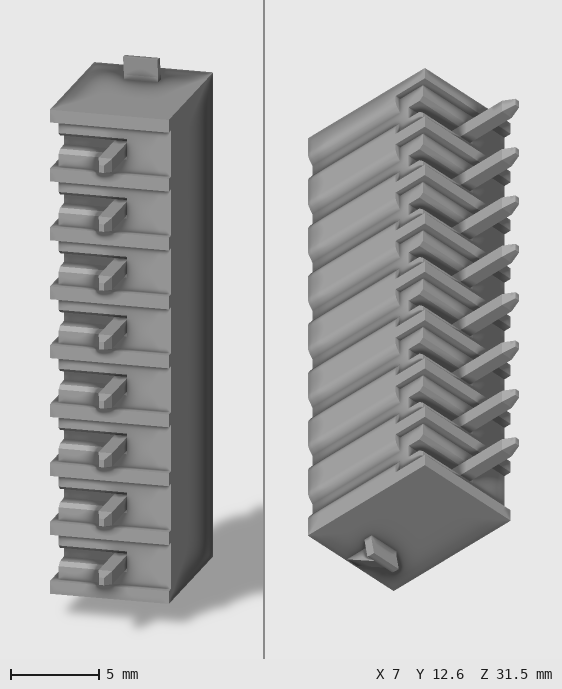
import cadquery as cq
import math

total_height = 31.5
width = 7.0
total_length = 12.6
body_length = 9.2
cell_count = 8
pitch = 3.5
rib_thickness = 0.75
recess_depth = 0.5
side_depth = 0.38
notch_length = 2.3

groove_floor = 0.7
groove_angle = math.radians(38)
groove_edge_radius = 0.63

pin_size = 0.8
pin_x = 0.5
pin_tip_length = 0.82
pin_tip_width = 0.3
pin_tip_height = 0.45
slot_depth = 1.13
slot_chamfer = 0.22
slot_chamfer_length = 0.28

peg_rib_width = 0.82
peg_plate_width = 2.02
peg_back_gap = 0.1
peg_ramp_length = 2.27
peg_round_radius = 0.5
peg_top_front = 2.8
peg_foot_front = 2.6
peg_plate_back = 2.05
peg_foot_height = 0.28

back_y = total_length / 2
rib_front_y = back_y - body_length
cell_front_y = rib_front_y + recess_depth
notch_back_y = rib_front_y + notch_length
pin_tip_y = back_y - total_length
side_x = -width / 2
body_height = cell_count * pitch + rib_thickness
peg_height = (total_height - body_height) / 2
cell_centres = [(i - (cell_count - 1) / 2) * pitch for i in range(cell_count)]
cell_opening = pitch - rib_thickness


def box(x_range, y_range, z_range):
    size = [end - start for start, end in (x_range, y_range, z_range)]
    return cq.Workplane("XY").box(*size, centered=False).translate((x_range[0], y_range[0], z_range[0]))


def cell_recess():
    """Gap between two ribs: open at the front, with a notch along the -X side."""
    z_range = (-cell_opening / 2, cell_opening / 2)
    front = box((side_x, -side_x), (rib_front_y, cell_front_y), z_range)
    side = box((side_x, side_x + side_depth), (rib_front_y, notch_back_y), z_range)
    return front.union(side)


def side_groove():
    """Groove in the -X side, from the notch to the back of the housing."""
    floor_x = side_x + side_depth
    round_x = side_x + groove_edge_radius
    round_end_x = round_x - groove_edge_radius * math.cos(groove_angle)
    round_mid_x = round_x - groove_edge_radius * math.cos(groove_angle / 2)
    floor_z = groove_floor / 2
    slope_z = floor_z + (floor_x - round_end_x) / math.tan(groove_angle)
    mouth_z = slope_z + groove_edge_radius * math.sin(groove_angle)
    round_mid_z = mouth_z - groove_edge_radius * math.sin(groove_angle / 2)
    return (
        cq.Workplane("XZ", origin=(0, back_y, 0))
        .moveTo(side_x, -mouth_z)
        .threePointArc((round_mid_x, -round_mid_z), (round_end_x, -slope_z))
        .lineTo(floor_x, -floor_z)
        .lineTo(floor_x, floor_z)
        .lineTo(round_end_x, slope_z)
        .threePointArc((round_mid_x, round_mid_z), (side_x, mouth_z))
        .close()
        .extrude(back_y - notch_back_y)
    )


def pin_slot():
    """Slot for the pin, open to the -X side, chamfered along its top and bottom edges."""
    half = pin_size / 2
    mouth = half + slot_chamfer
    floor_y = cell_front_y + slot_depth
    return (
        cq.Workplane("YZ", origin=(side_x, 0, 0))
        .polyline([
            (cell_front_y, -mouth),
            (cell_front_y + slot_chamfer_length, -half),
            (floor_y, -half),
            (floor_y, half),
            (cell_front_y + slot_chamfer_length, half),
            (cell_front_y, mouth),
        ])
        .close()
        .extrude(pin_x + pin_size / 2 - side_x)
    )


def pin():
    """Square pin with a tapered tip, standing on the slot floor."""
    taper_y = pin_tip_y + pin_tip_length
    half = pin_size / 2
    shank = box((pin_x - half, pin_x + half), (taper_y, cell_front_y + slot_depth), (-half, half))
    tip = (
        cq.Workplane("XZ", origin=(pin_x, taper_y, 0))
        .rect(pin_size, pin_size)
        .workplane(offset=pin_tip_length)
        .rect(pin_tip_width, pin_tip_height)
        .loft()
    )
    return shank.union(tip)


def top_peg():
    """Locking peg: a narrow ramp running up to a wide, forward-leaning plate."""
    base_z = body_height / 2
    top_z = base_z + peg_height
    ramp_y = back_y - peg_back_gap
    crest_y = ramp_y - peg_ramp_length
    foot_y = back_y - peg_foot_front
    front_y = back_y - peg_top_front
    ramp_angle = math.atan2(peg_height, peg_ramp_length)
    round_y = crest_y - peg_round_radius * math.tan(ramp_angle / 2)
    round_z = top_z - peg_round_radius

    def round_point(angle):
        return (
            round_y + peg_round_radius * math.sin(angle),
            round_z + peg_round_radius * math.cos(angle),
        )

    def side_profile(thickness):
        return (
            cq.Workplane("YZ")
            .moveTo(ramp_y, base_z)
            .lineTo(*round_point(ramp_angle))
            .threePointArc(round_point(ramp_angle / 2), (round_y, top_z))
            .lineTo(front_y, top_z)
            .lineTo(foot_y, base_z + peg_foot_height)
            .lineTo(foot_y, base_z)
            .close()
            .extrude(thickness / 2, both=True)
        )

    lean = (foot_y - front_y) / (peg_height - peg_foot_height)
    plate_back_y = back_y - peg_plate_back
    behind_plate = (
        cq.Workplane("YZ")
        .polyline([
            (plate_back_y, base_z),
            (back_y, base_z),
            (back_y, top_z),
            (plate_back_y - lean * peg_height, top_z),
        ])
        .close()
        .extrude(peg_plate_width / 2, both=True)
    )
    plate = side_profile(peg_plate_width).cut(behind_plate)
    return side_profile(peg_rib_width).union(plate)


result = box((side_x, -side_x), (rib_front_y, back_y), (-body_height / 2, body_height / 2))

cell_cutter = cell_recess().union(side_groove()).union(pin_slot())
cell_pin = pin()
for z in cell_centres:
    result = result.cut(cell_cutter.translate((0, 0, z)))
    result = result.union(cell_pin.translate((0, 0, z)))

peg = top_peg()
result = result.union(peg).union(peg.mirror("XY"))